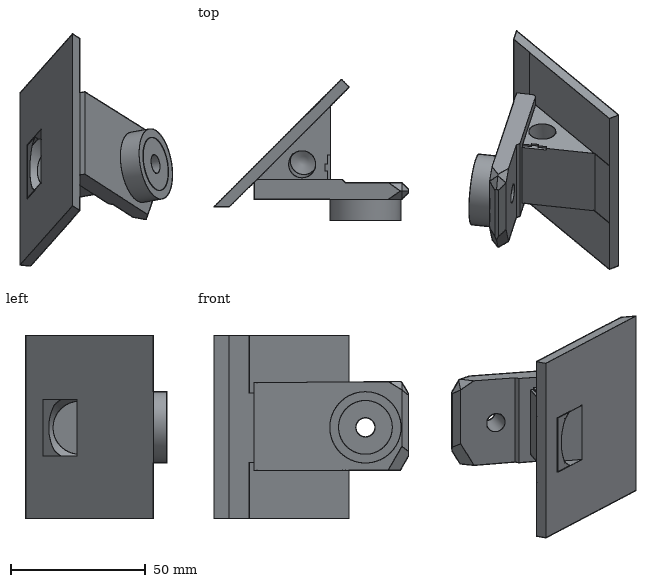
import cadquery as cq
import math

plate_height = 68.0
plate_front_y = 5.1
plate_foot = 5.7
plate_rise = 47.4
plate_half_foot = plate_foot / 2
pad_start_x = 13.0
pad_thickness = 0.15

web_bottom = 20.85
web_top = 46.7
web_right = 43.35

arm_left = 15.0
arm_front = 7.9
arm_back = 15.3
arm_thin_back = 14.1
arm_step_x = 47.75
arm_bottom = 17.9
arm_top_left = 50.4
arm_top_right = 50.95
nose_tip = 72.35
nose_start = 69.8
nose_middle = (arm_front + arm_thin_back) / 2
nose_flat = 1.3
corner_start = 64.7

upper_bevel_z = 47.75
upper_ridge_z = 50.6
upper_tip_z = 45.7
lower_bevel_z = 26.8
lower_ridge_x = 69.25

boss_x = 56.3
boss_z = 33.9
boss_diameter = 26.5
recess_diameter = 20.0
recess_depth = 0.15
bore_diameter = 7.0

web_hole_x = 32.8
web_hole_y = 20.9
web_hole_diameter = 10.0
web_hole_depth = 13.0
web_hole_tip = 1.8
web_hole_shift = (0.65, 1.15)

window_near_y = 33.35
window_far_y = 46.0
window_bottom = 23.15
window_top = 44.3
window_depth = 0.35
pocket_y = 32.4
pocket_z = 33.7
pocket_floor_x = 42.0
pocket_floor_radius = 9.85
pocket_mouth_radius = 12.6
pocket_half_angle = 30.0

notch_depth = 0.7
notch_left = 42.2
notch_end_y = 24.3
tab_left = 41.3
tab_start_y = 18.45
tab_end_y = 21.05

face_offset = plate_foot - plate_front_y


def prism_z(points, bottom, top):
    return cq.Workplane("XY").workplane(offset=bottom).polyline(points).close().extrude(top - bottom)


def box_between(low, high):
    size = [b - a for a, b in zip(low, high)]
    return cq.Workplane("XY").box(*size, centered=False).translate(low)


def cut_beyond(body, p, q, r, inside):
    """Remove everything on the far side of the plane through p, q, r, keeping the point inside."""
    origin = cq.Vector(*p)
    normal = (cq.Vector(*q) - origin).cross(cq.Vector(*r) - origin)
    if normal.dot(cq.Vector(*inside) - origin) > 0:
        normal = normal * -1
    reach = 2 * nose_tip
    waste = cq.Workplane(cq.Plane(origin=origin, normal=normal)).rect(reach, reach).extrude(reach)
    return body.cut(waste)


def make_plate():
    end_x = plate_rise + plate_half_foot
    plate = prism_z(
        [
            (0, plate_front_y),
            (plate_foot, plate_front_y),
            (end_x, end_x - face_offset),
            (plate_rise, plate_rise + plate_front_y),
        ],
        0,
        plate_height,
    )
    pad_outline = [
        (pad_start_x, pad_start_x - face_offset),
        (pad_start_x + pad_thickness, pad_start_x - face_offset),
        (end_x, end_x - face_offset - pad_thickness),
        (end_x, end_x - face_offset),
    ]
    for bottom, top in ((0, web_bottom), (web_top, plate_height)):
        plate = plate.union(prism_z(pad_outline, bottom, top))
    return plate


def make_web():
    return prism_z(
        [
            (arm_back + face_offset, arm_back),
            (web_right, arm_back),
            (web_right, web_right - face_offset),
        ],
        web_bottom,
        web_top,
    )


def make_arm():
    step = arm_back - arm_thin_back
    arm = prism_z(
        [
            (arm_left, arm_front),
            (nose_start, arm_front),
            (nose_tip, nose_middle - nose_flat / 2),
            (nose_tip, nose_middle + nose_flat / 2),
            (nose_start, arm_thin_back),
            (arm_step_x + step, arm_thin_back),
            (arm_step_x, arm_back),
            (arm_left, arm_back),
        ],
        arm_bottom,
        arm_top_right,
    )
    inside = (boss_x, nose_middle, boss_z)
    arm = cut_beyond(
        arm,
        (arm_left, arm_front, arm_top_left),
        (arm_left, arm_back, arm_top_left),
        (nose_tip, arm_front, arm_top_right),
        inside,
    )
    for face_y in (arm_front, arm_thin_back):
        tip_y = nose_middle + math.copysign(nose_flat / 2, face_y - nose_middle)
        upper_start = (corner_start, face_y, arm_top_right)
        upper_bevel = (nose_start, face_y, upper_bevel_z)
        upper_ridge = (nose_start, nose_middle, upper_ridge_z)
        upper_tip = (nose_tip, tip_y, upper_tip_z)
        arm = cut_beyond(arm, upper_start, upper_bevel, upper_ridge, inside)
        arm = cut_beyond(arm, upper_bevel, upper_ridge, upper_tip, inside)
        lower_start = (corner_start, face_y, arm_bottom)
        lower_bevel = (nose_start, face_y, lower_bevel_z)
        lower_ridge = (lower_ridge_x, nose_middle, arm_bottom)
        arm = cut_beyond(arm, lower_start, lower_bevel, lower_ridge, inside)
    return arm


def boss_cylinder(diameter, length):
    """Cylinder along +Y from the front face of the boss."""
    base = cq.Vector(boss_x, 0, boss_z)
    return cq.Workplane(cq.Solid.makeCylinder(diameter / 2, length, base, cq.Vector(0, 1, 0)))


def web_hole():
    radius = web_hole_diameter / 2
    shift_x, shift_y = web_hole_shift
    top = cq.Vector(web_hole_x, web_hole_y, web_top)
    axis = cq.Vector(shift_x, shift_y, -web_hole_depth).normalized()
    above = 1.45
    start = top - axis * above
    shaft = cq.Solid.makeCylinder(radius, web_hole_depth + above, start, axis)
    cone = cq.Solid.makeCone(radius, 0, web_hole_tip, top + axis * web_hole_depth, axis)
    return cq.Workplane(shaft).union(cq.Workplane(cone))


def window():
    rear = plate_front_y - window_depth
    return prism_z(
        [
            (0, window_near_y),
            (window_near_y - rear, window_near_y),
            (window_far_y - rear, window_far_y),
            (0, window_far_y),
        ],
        window_bottom,
        window_top,
    )


def window_pocket():
    flare = (pocket_mouth_radius - pocket_floor_radius) / math.tan(math.radians(pocket_half_angle))
    flare_x = pocket_floor_x - flare
    along_x = cq.Vector(1, 0, 0)
    mouth = cq.Solid.makeCylinder(pocket_mouth_radius, flare_x, cq.Vector(0, pocket_y, pocket_z), along_x)
    cone = cq.Solid.makeCone(
        pocket_mouth_radius,
        pocket_floor_radius,
        flare,
        cq.Vector(flare_x, pocket_y, pocket_z),
        along_x,
    )
    limits = box_between((0, window_near_y, window_bottom), (pocket_floor_x, window_far_y, window_top))
    return limits.intersect(cq.Workplane(mouth).union(cq.Workplane(cone)))


def web_notch():
    notch_bottom = web_top - notch_depth
    notch = box_between((notch_left, arm_back, notch_bottom), (web_right, notch_end_y, web_top))
    tab = box_between((tab_left, tab_start_y, notch_bottom), (notch_left, tab_end_y, web_top))
    return notch.union(tab)


result = make_plate().union(make_web()).union(make_arm())
result = result.union(boss_cylinder(boss_diameter, arm_front))
result = result.cut(boss_cylinder(recess_diameter, recess_depth))
result = result.cut(boss_cylinder(bore_diameter, arm_back))
result = result.cut(web_hole()).cut(window()).cut(window_pocket()).cut(web_notch())